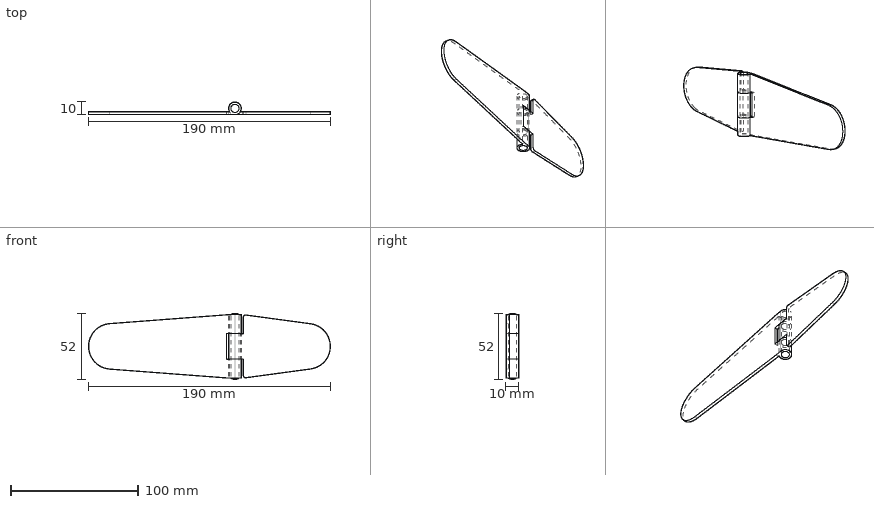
import cadquery as cq
import math


barrel_radius = 5.0
barrel_length = 50.0
pin_radius = 3.2
dome_height = 1.0

leaf_thickness = 2.5
tip_radius = 18.0
long_leaf_reach = 115.0
short_leaf_reach = 75.0
corner_radius = 2.0

knuckle_length = 20.0
knuckle_clearance = 1.5

half_barrel = barrel_length / 2
leaf_edge = barrel_radius + knuckle_clearance
outer_face_y = -barrel_radius
inner_face_y = outer_face_y + leaf_thickness


def box(x_min, x_max, y_min, y_max, length):
    """Block centred on Z = 0."""
    size_x = x_max - x_min
    size_y = y_max - y_min
    centre = ((x_min + x_max) / 2, (y_min + y_max) / 2, 0)
    return cq.Workplane("XY").box(size_x, size_y, length).translate(centre)


def barrel(radius, length):
    """Cylinder on the pin axis, centred on Z = 0."""
    return cq.Workplane("XY").circle(radius).extrude(length / 2, both=True)


def tapered_plate(root, reach, side):
    """Plate as tall as the barrel at its root, tapering tangentially into a round tip.

    root and reach are distances from the pin axis; side is -1 for -X and +1 for +X.
    """
    tip_centre = reach - tip_radius
    run = tip_centre - root
    corner_angle = math.atan2(half_barrel, run)
    taper = corner_angle - math.asin(tip_radius / math.hypot(run, half_barrel))
    tangent_x = side * (tip_centre + tip_radius * math.sin(taper))
    tangent_z = tip_radius * math.cos(taper)
    return (
        cq.Workplane("XZ", origin=(0, outer_face_y, 0))
        .moveTo(side * root, -half_barrel)
        .lineTo(tangent_x, -tangent_z)
        .threePointArc((side * reach, 0), (tangent_x, tangent_z))
        .lineTo(side * root, half_barrel)
        .close()
        .extrude(-leaf_thickness)
    )


def make_long_leaf():
    """Leaf on the -X side with the two outer knuckles."""
    plate = tapered_plate(barrel_radius, long_leaf_reach, -1)
    web = box(-barrel_radius, 0, outer_face_y, inner_face_y, barrel_length)
    notch = box(-leaf_edge, barrel_radius, outer_face_y, barrel_radius, knuckle_length)
    leaf = plate.union(web).union(barrel(barrel_radius, barrel_length))
    return leaf.cut(notch).cut(barrel(pin_radius, barrel_length))


def make_short_leaf():
    """Leaf on the +X side with the middle knuckle."""
    plate = tapered_plate(leaf_edge, short_leaf_reach, 1)
    plate = plate.edges("|Y").edges("<X").fillet(corner_radius)
    web = box(0, leaf_edge, outer_face_y, inner_face_y, knuckle_length)
    leaf = plate.union(web).union(barrel(barrel_radius, knuckle_length))
    return leaf.cut(barrel(pin_radius, knuckle_length))


def make_pin():
    """Pin filling the barrel, with a shallow spherical dome at each end."""
    tip_z = half_barrel + dome_height
    return (
        cq.Workplane("XZ")
        .moveTo(0, -tip_z)
        .threePointArc(dome_midpoint(-1), (pin_radius, -half_barrel))
        .lineTo(pin_radius, half_barrel)
        .threePointArc(dome_midpoint(1), (0, tip_z))
        .close()
        .revolve(360, (0, 0), (0, 1))
    )


def dome_midpoint(end):
    """Point halfway along a dome arc; end is -1 for the lower dome and +1 for the upper."""
    dome_radius = (pin_radius**2 + dome_height**2) / (2 * dome_height)
    half_angle = math.asin(pin_radius / dome_radius) / 2
    sphere_centre_z = half_barrel + dome_height - dome_radius
    return (
        dome_radius * math.sin(half_angle),
        end * (sphere_centre_z + dome_radius * math.cos(half_angle)),
    )


long_leaf = make_long_leaf()
short_leaf = make_short_leaf()
pin = make_pin()

result = cq.Compound.makeCompound([long_leaf.val(), short_leaf.val(), pin.val()])